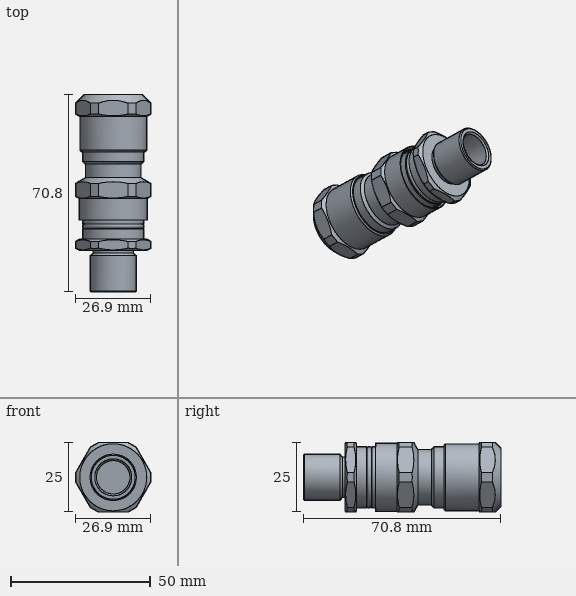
import cadquery as cq
import math

length = 70.8

across_flats = 25.0
across_cut_corners = 26.9
chamfer_slope = math.tan(math.radians(30))

rear_body_diameter = 24.0
middle_body_diameter = 24.5
collar_diameter = 22.0
waist_diameter = 20.0
spigot_diameter = 16.6
undercut_diameter = 14.6
bore_diameter = 12.0

spigot_cone_start = 13.1
undercut_start = 13.95
front_nut_start = 14.9
front_nut_end = 19.05
seal_groove_start = 22.65
seal_groove_end = 24.5
middle_body_start = 25.85
middle_nut_start = 33.55
middle_nut_end = 41.0
rear_collar_start = 45.8
rear_body_start = 50.3
rear_nut_start = 62.9

spigot_chamfer = 0.4
bore_chamfer = 0.65
rear_body_chamfer = 0.6
front_nut_face_diameter = 24.0
rear_nut_face_diameter = 20.8
seal_thickness = 1.7
seal_groove_depth = 1.1
sleeve_mouth_diameter = 24.0
sleeve_bore_diameter = 22.9
sleeve_depth = 3.55


def revolve_profile(points):
    """Revolve (radius, Y) points, closed along the axis, about the Y axis."""
    first_y = points[0][1]
    last_y = points[-1][1]
    outline = [(0, first_y)] + points + [(0, last_y)]
    return cq.Workplane("XY").polyline(outline).close().revolve(360, (0, 0, 0), (0, 1, 0))


def hexagon_prism(start, end, flats, turn):
    """Hexagonal prism along Y, with corners on the X axis before turning."""
    corner_diameter = flats / math.cos(math.pi / 6)
    prism = cq.Workplane("XZ", origin=(0, end, 0)).polygon(6, corner_diameter).extrude(end - start)
    return prism.rotate((0, 0, 0), (0, 1, 0), turn)


def hex_nut(start, end, front_diameter, rear_diameter, rear_slope=chamfer_slope):
    """Hexagon with flat-cut corners and a conical chamfer on both faces."""
    front_radius = front_diameter / 2
    rear_radius = rear_diameter / 2
    rim_radius = across_flats / math.sqrt(3)
    envelope = revolve_profile([
        (front_radius, start),
        (rim_radius, start + (rim_radius - front_radius) * chamfer_slope),
        (rim_radius, end - (rim_radius - rear_radius) * rear_slope),
        (rear_radius, end),
    ])
    hexagon = hexagon_prism(start, end, across_flats, 0)
    corner_cut = hexagon_prism(start, end, across_cut_corners, 30)
    return hexagon.intersect(corner_cut).intersect(envelope)


def turned_core():
    """All round steps of the gland, passing through the nuts."""
    spigot = spigot_diameter / 2
    undercut = undercut_diameter / 2
    collar = collar_diameter / 2
    groove = collar - seal_groove_depth
    middle_body = middle_body_diameter / 2
    sleeve_mouth = sleeve_mouth_diameter / 2
    sleeve_bore = sleeve_bore_diameter / 2
    sleeve_floor = middle_body_start + sleeve_depth
    waist = waist_diameter / 2
    rear_body = rear_body_diameter / 2
    return revolve_profile([
        (spigot - spigot_chamfer, 0),
        (spigot, spigot_chamfer),
        (spigot, spigot_cone_start),
        (undercut, undercut_start),
        (undercut, front_nut_start),
        (collar, front_nut_start),
        (collar, seal_groove_start),
        (groove, seal_groove_start),
        (groove, seal_groove_end),
        (collar, seal_groove_end),
        (collar, sleeve_floor),
        (sleeve_bore, sleeve_floor),
        (sleeve_bore, middle_body_start + sleeve_mouth - sleeve_bore),
        (sleeve_mouth, middle_body_start),
        (middle_body, middle_body_start),
        (middle_body, middle_nut_start),
        (waist, middle_nut_start),
        (waist, rear_collar_start),
        (collar, rear_collar_start + collar - waist),
        (collar, rear_body_start),
        (rear_body - rear_body_chamfer, rear_body_start),
        (rear_body, rear_body_start + rear_body_chamfer),
        (rear_body, rear_nut_start),
    ])


def seal_ring():
    """Round ring seated in the groove, flush with the collar."""
    seal_radius = seal_thickness / 2
    centre_radius = collar_diameter / 2 - seal_radius
    centre_y = (seal_groove_start + seal_groove_end) / 2
    groove_radius = collar_diameter / 2 - seal_groove_depth
    half_contact = math.sqrt(seal_radius**2 - (centre_radius - groove_radius) ** 2)
    section = (
        cq.Workplane("XY")
        .moveTo(groove_radius, centre_y - half_contact)
        .threePointArc((collar_diameter / 2, centre_y), (groove_radius, centre_y + half_contact))
        .close()
    )
    return section.revolve(360, (0, 0, 0), (0, 1, 0))


def spigot_bore():
    """Blind bore through the spigot with a chamfered mouth."""
    radius = bore_diameter / 2
    return revolve_profile([
        (radius + bore_chamfer, 0),
        (radius, bore_chamfer),
        (radius, front_nut_start),
    ])


front_nut = hex_nut(front_nut_start, front_nut_end, front_nut_face_diameter, front_nut_face_diameter)
middle_nut = hex_nut(middle_nut_start, middle_nut_end, middle_body_diameter, waist_diameter)
rear_nut = hex_nut(rear_nut_start, length, rear_body_diameter, rear_nut_face_diameter, rear_slope=1.0)

result = turned_core()
for piece in (seal_ring(), front_nut, middle_nut, rear_nut):
    result = result.union(piece)
result = result.cut(spigot_bore())